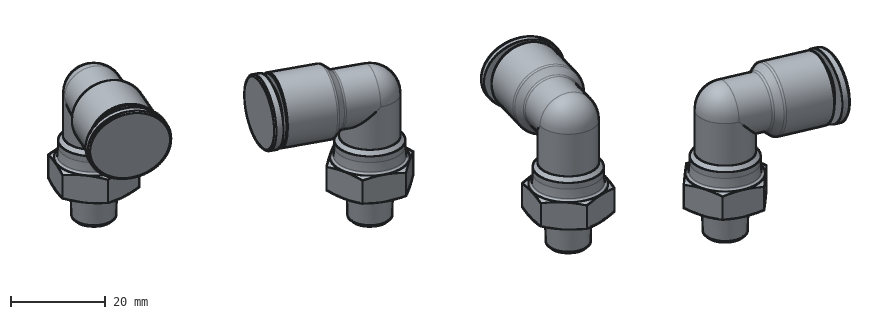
import cadquery as cq
import math

overall_height = 37.8
body_radius = 6.5
sleeve_radius = 8.15
axis_height = overall_height - sleeve_radius

spigot_tip_radius = 3.97
spigot_chamfer = 0.8
thread_taper = 1 / 32

hex_bottom = 7.98
hex_top = 14.48
hex_across_flats = 17.0
hex_corner_radius = hex_across_flats / 2 / math.cos(math.pi / 6)
hex_end_radius = 8.43
hex_corner_drop = 0.5

collar_radius = 7.52
collar_base_radius = 7.7
collar_flare_radius = 8.1
collar_flare_top = 14.95
collar_taper_top = 17.12
collar_straight_top = 18.6
collar_shoulder_top = collar_straight_top + collar_radius - body_radius

sleeve_cone_start = 8.05
sleeve_cone_end = 10.1
sleeve_fillet = 0.85
sleeve_end = 21.85
sleeve_end_chamfer = 0.23

ring_neck_radius = 5.9
flange_start = 23.02
flange_end = 25.0
flange_width = 18.5
flange_height = 16.0
flange_chamfer = 0.38


def along_x(x):
    """Plane at the given X facing +X, centred on the horizontal axis, local x along Y."""
    return cq.Workplane("YZ", origin=(x, 0, axis_height))


def make_spigot():
    """Tapered thread blank with a chamfered tip."""
    shoulder_radius = spigot_tip_radius + spigot_chamfer
    root_radius = shoulder_radius + (hex_bottom - spigot_chamfer) * thread_taper
    profile = cq.Workplane("XZ").polyline([
        (0, 0),
        (spigot_tip_radius, 0),
        (shoulder_radius, spigot_chamfer),
        (root_radius, hex_bottom),
        (0, hex_bottom),
    ]).close()
    return profile.revolve(360, (0, 0, 0), (0, 1, 0))


def make_hex():
    """Hexagon with corners on the X axis, trimmed by a cone at each end."""
    prism = (
        cq.Workplane("XY")
        .workplane(offset=hex_bottom)
        .polygon(6, 2 * hex_corner_radius)
        .extrude(hex_top - hex_bottom)
    )
    trim = cq.Workplane("XZ").polyline([
        (0, hex_bottom),
        (hex_end_radius, hex_bottom),
        (hex_corner_radius, hex_bottom + hex_corner_drop),
        (hex_corner_radius, hex_top - hex_corner_drop),
        (hex_end_radius, hex_top),
        (0, hex_top),
    ]).close().revolve(360, (0, 0, 0), (0, 1, 0))
    return prism.intersect(trim)


def make_collar():
    """Collar with a concave flare at the nut, a slight taper and a bevelled shoulder."""
    arc_depth = 1 - math.sqrt(0.5)
    flare_width = collar_flare_radius - collar_base_radius
    flare_height = collar_flare_top - hex_top
    flare_middle = (
        collar_base_radius + flare_width * arc_depth,
        hex_top + flare_height * arc_depth,
    )
    profile = (
        cq.Workplane("XZ")
        .moveTo(0, hex_top)
        .lineTo(collar_flare_radius, hex_top)
        .threePointArc(flare_middle, (collar_base_radius, collar_flare_top))
        .lineTo(collar_radius, collar_taper_top)
        .lineTo(collar_radius, collar_straight_top)
        .lineTo(body_radius, collar_shoulder_top)
        .lineTo(0, collar_shoulder_top)
        .close()
    )
    return profile.revolve(360, (0, 0, 0), (0, 1, 0))


def make_vertical_leg():
    """Round leg rising from the collar to a ball at the corner of the elbow."""
    corner = cq.Workplane("XY").workplane(offset=axis_height)
    ball = corner.sphere(body_radius)
    leg = corner.circle(body_radius).extrude(collar_shoulder_top - axis_height)
    return leg.union(ball)


def make_horizontal_leg():
    """Round leg from the corner, widening through a blended cone into the tube sleeve."""
    profile = cq.Workplane("XZ", origin=(0, 0, axis_height)).polyline([
        (0, 0),
        (0, body_radius),
        (sleeve_cone_start, body_radius),
        (sleeve_cone_end, sleeve_radius),
        (sleeve_end - sleeve_end_chamfer, sleeve_radius),
        (sleeve_end, sleeve_radius - sleeve_end_chamfer),
        (sleeve_end, 0),
    ]).close()
    sleeve = profile.revolve(360, (0, 0, 0), (1, 0, 0))
    margin = sleeve_fillet
    cone_ends = cq.selectors.BoxSelector(
        (sleeve_cone_start - margin, -sleeve_radius - margin, axis_height - sleeve_radius - margin),
        (sleeve_cone_end + margin, sleeve_radius + margin, axis_height + sleeve_radius + margin),
        boundingbox=True,
    )
    return sleeve.edges(cone_ends).fillet(sleeve_fillet)


def make_release_ring():
    """Neck and oval flange at the free end of the sleeve."""
    neck = along_x(sleeve_end).circle(ring_neck_radius).extrude(flange_start - sleeve_end)
    flange = (
        along_x(flange_start)
        .ellipse(flange_width / 2, flange_height / 2)
        .extrude(flange_end - flange_start)
        .faces(">X")
        .edges()
        .chamfer(flange_chamfer)
    )
    return neck.union(flange)


result = (
    make_spigot()
    .union(make_hex())
    .union(make_collar())
    .union(make_vertical_leg())
    .union(make_horizontal_leg())
    .union(make_release_ring())
)